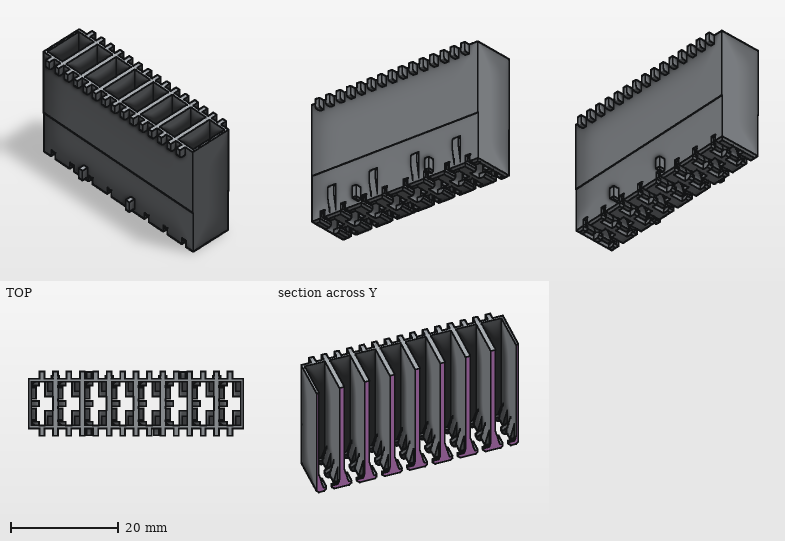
import cadquery as cq
import math


CELL_COUNT = 8
CELL_PITCH = 5.0
LENGTH = CELL_COUNT * CELL_PITCH
HEIGHT = 25.0
UPPER_WIDTH = 9.3
LOWER_WIDTH = 9.1
STEP_Z = 10.0
BASE_CHAMFER = 0.45

PARTITION = 1.0
CELL_LENGTH = CELL_PITCH - PARTITION
CELL_WIDTH = 8.1
FLOOR = 1.0
SLOT_WIDTH = 1.1
SLOT_DEPTH = 1.95

RIGHT_OPENING_HALF = 1.3
LEFT_OPENING_INNER = 0.5
LEFT_OPENING_OUTER = 3.35

RAMP_DEPTH = 0.9
RAMP_HEIGHT = 3.5
LEFT_RAMP_INNER = 0.9
LEFT_RAMP_OUTER = 3.05
RIGHT_RAMP_INNER = 2.35
REST_ANGLE = 30.0
GUSSET_X = 0.7
GUSSET_Y = 0.5
GUSSET_HEIGHT = 2.0

TOOTH_PITCH = CELL_PITCH / 2
TOOTH_COUNT = 2 * CELL_COUNT - 1
TOOTH_WIDTH = 0.95
TOOTH_HEIGHT = 1.95
TOOTH_FILLET = 0.5
TOOTH_SPAN = 12.0

PEG_WIDTH = 1.0
PEG_SPAN = 11.8
PEG_BOTTOM = 1.0
PEG_TOP = 3.75
PEG_CHAMFER = 0.35
FRONT_PEGS_X = (-8.75, 3.8)
BACK_PEGS_X = (-8.75, 8.75)

BUMP_WIDTH = 1.5
BUMP_DEPTH = 0.6
BUMP_BOTTOM = 1.0
BUMP_FLAT_BOTTOM = 4.2
BUMP_FLAT_TOP = 5.5
BUMP_TOP = 6.5
BUMPS_X = [2 * CELL_PITCH * i - LENGTH / 2 + CELL_PITCH for i in range(CELL_COUNT // 2)]

CELL_CENTRES = [CELL_PITCH * (i + 0.5) - LENGTH / 2 for i in range(CELL_COUNT)]
HALF_CELL = CELL_LENGTH / 2
HALF_SLOT = SLOT_WIDTH / 2


def block(x_range, y_range, z_range):
    """Axis-aligned box between the given limits."""
    sizes = [high - low for low, high in (x_range, y_range, z_range)]
    corner = (x_range[0], y_range[0], z_range[0])
    return cq.Workplane("XY").box(*sizes, centered=False).translate(corner)


def wedge(points_xz, y_low, y_high):
    """XZ outline extended from y_low to y_high."""
    outline = cq.Workplane("XZ", origin=(0, y_high, 0)).polyline(points_xz).close()
    return outline.extrude(y_high - y_low)


def mirrored_pair(solid):
    """The solid and its mirror image across Y = 0."""
    return [solid, solid.mirror("XZ")]


def copies(solids, positions):
    """Shapes of the given solids, repeated at each X position."""
    return [solid.translate((x, 0, 0)).val() for x in positions for solid in solids]


def add_all(body, shapes):
    """The body joined with every shape in a single operation."""
    return cq.Workplane(body.val().fuse(*shapes).clean())


def cut_all(body, shapes):
    """The body with every shape removed in a single operation."""
    return cq.Workplane(body.val().cut(*shapes).clean())


def make_shell():
    """Stepped outer block, with a chamfered base and the cells hollowed out above the floor."""
    lower = cq.Workplane("XY").box(LENGTH, LOWER_WIDTH, STEP_Z, centered=(True, True, False))
    lower = lower.faces("<Z").edges().chamfer(BASE_CHAMFER)
    upper = block(
        (-LENGTH / 2, LENGTH / 2), (-UPPER_WIDTH / 2, UPPER_WIDTH / 2), (STEP_Z, HEIGHT)
    )
    shell = lower.union(upper)
    cell = block((-HALF_CELL, HALF_CELL), (-CELL_WIDTH / 2, CELL_WIDTH / 2), (FLOOR, HEIGHT))
    return cut_all(shell, copies([cell], CELL_CENTRES))


def cut_slots(body):
    """Slots across the full width under each cell, flared at the base."""
    flare = HALF_SLOT + BASE_CHAMFER
    profile = [
        (-flare, 0),
        (-HALF_SLOT, BASE_CHAMFER),
        (-HALF_SLOT, SLOT_DEPTH),
        (HALF_SLOT, SLOT_DEPTH),
        (HALF_SLOT, BASE_CHAMFER),
        (flare, 0),
    ]
    slot = wedge(profile, -UPPER_WIDTH / 2, UPPER_WIDTH / 2)
    return cut_all(body, copies([slot], CELL_CENTRES))


def cut_floor_openings(body):
    """One opening right of each slot and two left of it, all through the floor."""
    floor_z = (0, FLOOR)
    right = block((0, HALF_CELL), (-RIGHT_OPENING_HALF, RIGHT_OPENING_HALF), floor_z)
    left = block((-HALF_CELL, 0), (LEFT_OPENING_INNER, LEFT_OPENING_OUTER), floor_z)
    return cut_all(body, copies([right] + mirrored_pair(left), CELL_CENTRES))


def make_gusset():
    """Three-sided pyramid in the left +Y corner of a cell, standing on the floor."""
    corner = (-HALF_CELL, CELL_WIDTH / 2)
    base = cq.Vector(*corner, FLOOR)
    along_x = base + cq.Vector(GUSSET_X, 0, 0)
    along_y = base - cq.Vector(0, GUSSET_Y, 0)
    apex = base + cq.Vector(0, 0, GUSSET_HEIGHT)
    triangles = (
        (base, along_x, along_y),
        (base, along_x, apex),
        (base, along_y, apex),
        (along_x, along_y, apex),
    )
    faces = [cq.Face.makeFromWires(cq.Wire.makePolygon(t, close=True)) for t in triangles]
    return cq.Workplane(cq.Solid.makeSolid(cq.Shell.makeShell(faces)))


def add_cell_guides(body):
    """Steep ramps, corner gussets and a sloped centre rest in every cell."""
    rest_length = HALF_CELL - HALF_SLOT
    rest_rise = rest_length * math.tan(math.radians(REST_ANGLE))
    rest = wedge(
        [(-HALF_CELL, FLOOR), (-HALF_SLOT, FLOOR), (-HALF_CELL, FLOOR + rest_rise)],
        -LEFT_OPENING_INNER,
        LEFT_OPENING_INNER,
    )
    left_ramp = wedge(
        [(-HALF_CELL, FLOOR), (-HALF_CELL + RAMP_DEPTH, FLOOR), (-HALF_CELL, FLOOR + RAMP_HEIGHT)],
        LEFT_RAMP_INNER,
        LEFT_RAMP_OUTER,
    )
    right_ramp = wedge(
        [(HALF_CELL, FLOOR), (HALF_CELL - RAMP_DEPTH, FLOOR), (HALF_CELL, FLOOR + RAMP_HEIGHT)],
        RIGHT_RAMP_INNER,
        CELL_WIDTH / 2,
    )
    guides = [rest]
    for guide in (left_ramp, right_ramp, make_gusset()):
        guides += mirrored_pair(guide)
    return add_all(body, copies(guides, CELL_CENTRES))


def add_teeth(body):
    """Rows of teeth on both long sides, flush with the rim, rounded at the lower outer edge."""
    tooth = block(
        (-TOOTH_WIDTH / 2, TOOTH_WIDTH / 2),
        (CELL_WIDTH / 2, TOOTH_SPAN / 2),
        (HEIGHT - TOOTH_HEIGHT, HEIGHT),
    )
    tooth = tooth.faces(">Y").edges("<Z").fillet(TOOTH_FILLET)
    positions = [(i - (TOOTH_COUNT - 1) / 2) * TOOTH_PITCH for i in range(TOOTH_COUNT)]
    return add_all(body, copies(mirrored_pair(tooth), positions))


def add_pegs(body):
    """Pegs standing out from the lower walls, chamfered round their lower ends."""
    back = block(
        (-PEG_WIDTH / 2, PEG_WIDTH / 2), (LOWER_WIDTH / 2, PEG_SPAN / 2), (PEG_BOTTOM, PEG_TOP)
    )
    back = back.faces("<Z").edges("|Y or >Y").chamfer(PEG_CHAMFER)
    back, front = mirrored_pair(back)
    return add_all(body, copies([back], BACK_PEGS_X) + copies([front], FRONT_PEGS_X))


def add_snap_bumps(body):
    """Ramped bumps on the +Y wall: a long lead-in below, a rounded shoulder on top."""
    wall = LOWER_WIDTH / 2
    crest = wall + BUMP_DEPTH
    bump = (
        cq.Workplane("YZ", origin=(-BUMP_WIDTH / 2, 0, 0))
        .moveTo(wall, BUMP_BOTTOM)
        .lineTo(crest, BUMP_FLAT_BOTTOM)
        .lineTo(crest, BUMP_FLAT_TOP)
        .tangentArcPoint((wall, BUMP_TOP), relative=False)
        .close()
        .extrude(BUMP_WIDTH)
    )
    return add_all(body, copies([bump], BUMPS_X))


result = make_shell()
result = cut_slots(result)
result = cut_floor_openings(result)
result = add_cell_guides(result)
result = add_teeth(result)
result = add_pegs(result)
result = cq.Workplane(add_snap_bumps(result).solids().val())